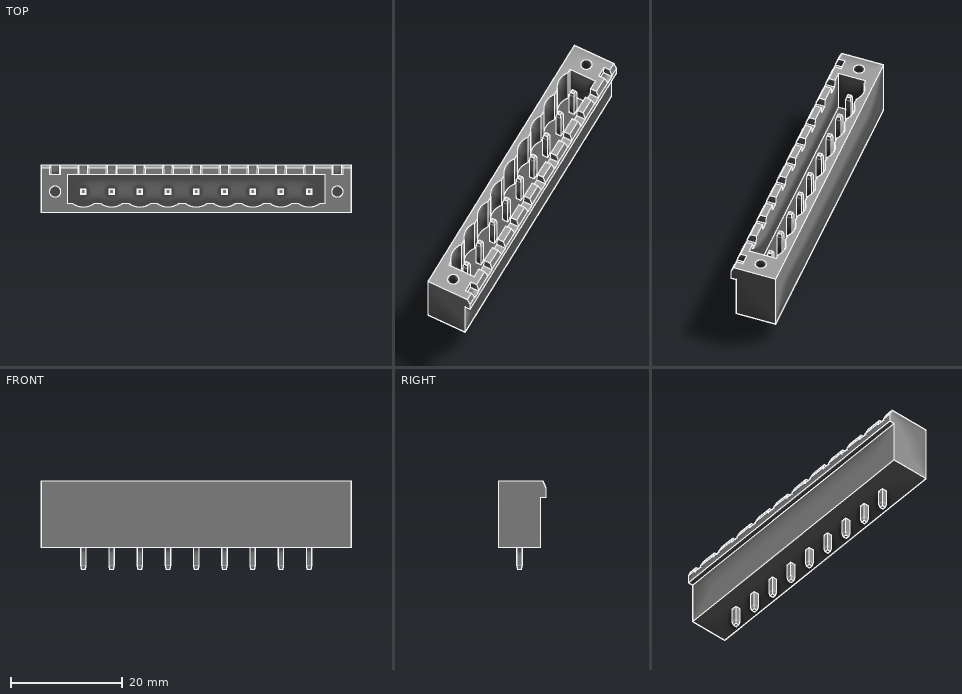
import cadquery as cq

length = 55.9
pin_count = 9
pitch = length / (pin_count + 2)

body_depth = 7.6
body_height = 12.0
lip_overhang = 1.0
lip_height = 3.0
lip_bevel_depth = 0.55
lip_bevel_height = 1.3

cavity_end_wall = 4.8
cavity_front_wall = 1.7
cavity_back_y = 6.9
cavity_floor_z = 3.0
scallop_chord = 3.95
scallop_depth = 0.65

notch_top_width = 2.0
notch_floor_width = 1.5
notch_depth = 1.5

pin_y = body_depth / 2
pin_width = 1.0
pin_tip_width = 0.65
pin_tip_length = 0.7
pin_below = 3.95
pin_top_z = 10.0

screw_hole_diameter = 2.0
screw_hole_depth = 5.6

pin_positions = [(i - (pin_count - 1) / 2) * pitch for i in range(pin_count)]
flange_x = (pin_count + 1) / 2 * pitch
flange_positions = [-flange_x, flange_x]


def make_housing():
    """Block with a bevelled lip overhanging along the top of the rear side."""
    lip_y = body_depth + lip_overhang
    return (
        cq.Workplane("YZ")
        .moveTo(0, 0)
        .lineTo(body_depth, 0)
        .lineTo(body_depth, body_height - lip_height)
        .lineTo(lip_y, body_height - lip_height)
        .lineTo(lip_y, body_height - lip_bevel_height)
        .lineTo(lip_y - lip_bevel_depth, body_height)
        .lineTo(0, body_height)
        .close()
        .extrude(length / 2, both=True)
    )


def make_cavity():
    """Rectangular pocket whose front wall is scalloped once per pin."""
    half_width = length / 2 - cavity_end_wall
    outline = (
        cq.Workplane("XY")
        .workplane(offset=cavity_floor_z)
        .moveTo(-half_width, cavity_back_y)
        .lineTo(-half_width, cavity_front_wall)
    )
    for x in pin_positions:
        outline = outline.lineTo(x - scallop_chord / 2, cavity_front_wall).threePointArc(
            (x, cavity_front_wall - scallop_depth),
            (x + scallop_chord / 2, cavity_front_wall),
        )
    return (
        outline.lineTo(half_width, cavity_front_wall)
        .lineTo(half_width, cavity_back_y)
        .close()
        .extrude(body_height - cavity_floor_z)
    )


def make_notch(x):
    """Notch across the rear lip, narrowing towards its floor."""
    floor_z = body_height - notch_depth
    return (
        cq.Workplane("XZ", origin=(x, cavity_back_y, 0))
        .moveTo(-notch_top_width / 2, body_height)
        .lineTo(-notch_floor_width / 2, floor_z)
        .lineTo(notch_floor_width / 2, floor_z)
        .lineTo(notch_top_width / 2, body_height)
        .close()
        .extrude(cavity_back_y - body_depth - lip_overhang)
    )


def make_pin(x):
    """Square pin with a tapered tip at both ends."""
    shank_bottom = pin_tip_length - pin_below
    shank_top = pin_top_z - pin_tip_length
    pin = (
        cq.Workplane("XY", origin=(x, pin_y, shank_bottom))
        .rect(pin_width, pin_width)
        .extrude(shank_top - shank_bottom)
    )
    for shank_end, direction in ((shank_bottom, -1), (shank_top, 1)):
        tip = (
            cq.Workplane("XY", origin=(x, pin_y, shank_end))
            .rect(pin_width, pin_width)
            .workplane(offset=direction * pin_tip_length)
            .rect(pin_tip_width, pin_tip_width)
            .loft()
        )
        pin = pin.union(tip)
    return pin


result = make_housing().cut(make_cavity())

for x in flange_positions + pin_positions:
    result = result.cut(make_notch(x))

for x in flange_positions:
    screw_hole = (
        cq.Workplane("XY", origin=(x, pin_y, body_height))
        .circle(screw_hole_diameter / 2)
        .extrude(-screw_hole_depth)
    )
    result = result.cut(screw_hole)

for x in pin_positions:
    result = result.union(make_pin(x))